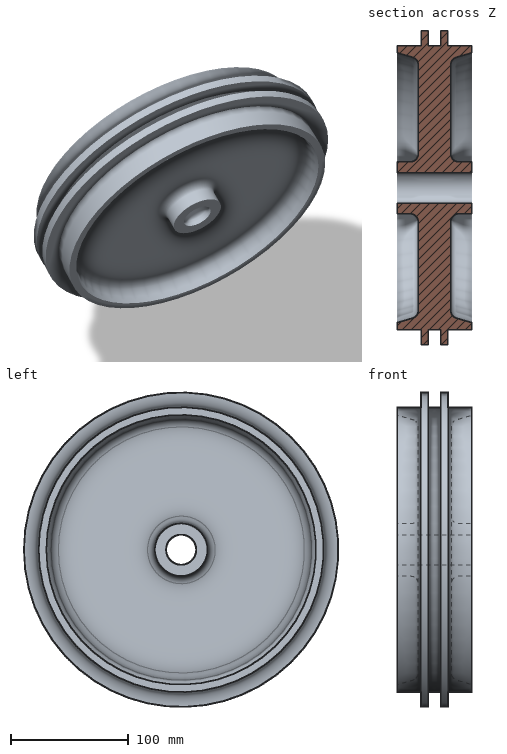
import cadquery as cq
import math

wheel_width = 63.5
flange_diameter = 266.7
rim_diameter = 241.4
flange_thickness = 6.5
flange_gap = 10.5
hub_diameter = 44.5
bore_diameter = 25.3
web_thickness = 28.0
recess_mouth_diameter = 228.5
recess_draft = 16.4
fillet_radius = 6.5

half_width = wheel_width / 2
recess_depth = (wheel_width - web_thickness) / 2


def disc(diameter, thickness, start_x):
    """Solid disc whose axis is X, extending toward +X from start_x."""
    return cq.Workplane("YZ", origin=(start_x, 0, 0)).circle(diameter / 2).extrude(thickness)


def recess():
    """Annular recess of the -X face, with a drafted wall and rounded floor corners."""
    draft = math.radians(recess_draft)
    face_x = -half_width
    floor_x = face_x + recess_depth
    arc_x = floor_x - fillet_radius
    hub_radius = hub_diameter / 2

    wall_depth = recess_depth - fillet_radius * (1 - math.sin(draft))
    wall_inset = wall_depth * math.tan(draft)
    floor_radius = recess_mouth_diameter / 2 - wall_inset - fillet_radius * math.cos(draft)

    inner_arc_radius = hub_radius + fillet_radius
    diagonal = fillet_radius * math.sqrt(0.5)
    inner_arc_middle = (arc_x + diagonal, inner_arc_radius - diagonal)

    def outer_arc_point(angle):
        return (
            arc_x + fillet_radius * math.cos(angle),
            floor_radius + fillet_radius * math.sin(angle),
        )

    outer_arc_sweep = math.pi / 2 - draft

    return (
        cq.Workplane("XY")
        .moveTo(face_x, hub_radius)
        .lineTo(arc_x, hub_radius)
        .threePointArc(inner_arc_middle, (floor_x, inner_arc_radius))
        .lineTo(floor_x, floor_radius)
        .threePointArc(outer_arc_point(outer_arc_sweep / 2), outer_arc_point(outer_arc_sweep))
        .lineTo(face_x, recess_mouth_diameter / 2)
        .close()
        .revolve(360, (0, 0, 0), (1, 0, 0))
    )


wheel = disc(rim_diameter, wheel_width, -half_width)
for flange_start in (-flange_gap / 2 - flange_thickness, flange_gap / 2):
    wheel = wheel.union(disc(flange_diameter, flange_thickness, flange_start))

near_recess = recess()
wheel = wheel.cut(near_recess).cut(near_recess.mirror("YZ"))

result = wheel.cut(disc(bore_diameter, wheel_width, -half_width))